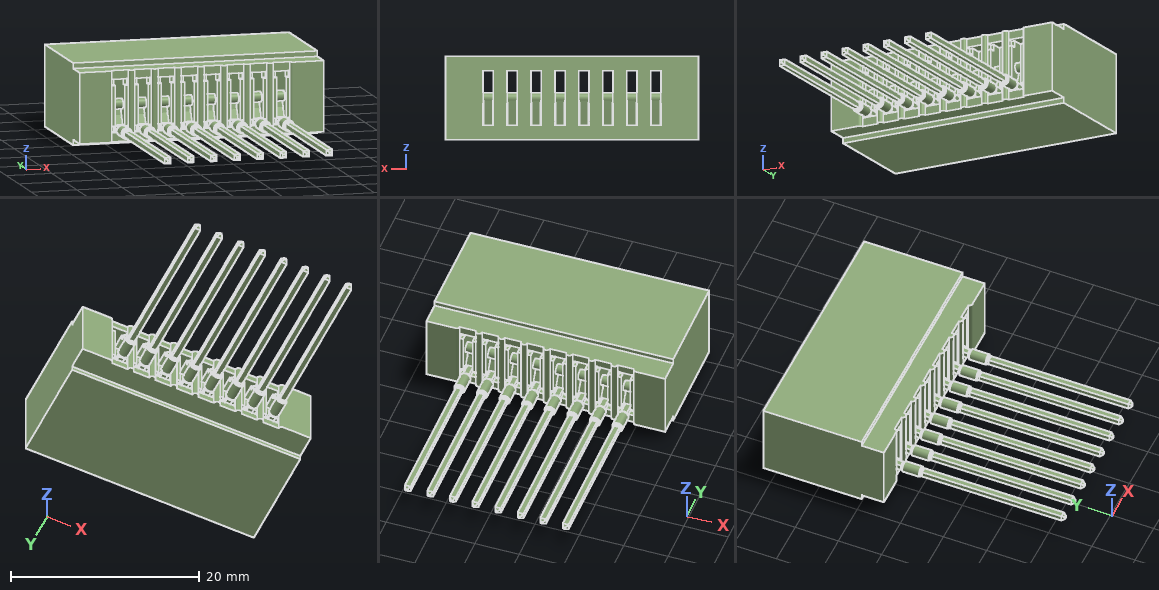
import cadquery as cq


OVERALL_DEPTH = 33.02

HOUSING_WIDTH = 26.9
HOUSING_DEPTH = 13.97
HOUSING_HEIGHT = 8.88
STEP_DEPTH = 2.58
STEP_HEIGHT = 0.6

CONTACT_COUNT = 8
PITCH = 2.55
CONTACT_XS = [(i - (CONTACT_COUNT - 1) / 2) * PITCH for i in range(CONTACT_COUNT)]

RECESS_DEPTH = 0.33
RIB_RADIUS = 0.35
SUNK_HEIGHT = HOUSING_HEIGHT - 2 * STEP_HEIGHT

SLOT_WIDTH = 1.05
SLOT_HEIGHT = 5.78
POCKET_WIDTH = PITCH - 2 * RIB_RADIUS
POCKET_HEIGHT = 0.7
POCKET_DEPTH = 0.92

WIRE_SIZE = 0.65
WIRE_Z = -2.55
WIRE_LENGTH = OVERALL_DEPTH - HOUSING_DEPTH
TIP_LENGTH = 0.33
TIP_SIZE = 0.23

SLEEVE_RADIUS = 0.6
SLEEVE_START = 0.3
SLEEVE_END = 2.4
SLEEVE_CHAMFER = 0.1
COLLAR_BASE_RADIUS = 0.45
COLLAR_TIP_RADIUS = 0.35
COLLAR_LENGTH = 0.15

LEAF_WIDTH = 1.0
LEAF_THICKNESS = 0.2
LEAF_START_Y = 1.12
LEAF_BEND_Y = 1.6
LEAF_BEND_Z = -1.22
ROLL_RADIUS = 0.55
ROLL_Y = 1.55


def y_prism(x, z, width, height, y_start, y_end):
    """Rectangular bar along Y, centred on (x, z)."""
    return cq.Workplane("XY").box(width, y_end - y_start, height).translate(
        (x, (y_start + y_end) / 2, z)
    )


def x_prism(profile, width):
    """Extrude a YZ profile along X, centred on X = 0."""
    return profile.extrude(width).translate((-width / 2, 0, 0))


def make_recess():
    """Recess across the contact row, with a rounded rib left on each side of every contact."""
    half_width = CONTACT_COUNT * PITCH / 2
    recess = y_prism(0, 0, 2 * half_width, SUNK_HEIGHT, 0, RECESS_DEPTH)
    for i in range(CONTACT_COUNT + 1):
        rib = (
            cq.Workplane("XY", origin=(-half_width + i * PITCH, RIB_RADIUS, 0))
            .circle(RIB_RADIUS)
            .extrude(SUNK_HEIGHT / 2, both=True)
        )
        recess = recess.cut(rib)
    return recess


def make_slot(x):
    """Through slot for one contact, with a wider blind pocket at its top and bottom ends."""
    slot = y_prism(x, 0, SLOT_WIDTH, SLOT_HEIGHT, 0, HOUSING_DEPTH)
    pocket_z = (SLOT_HEIGHT - POCKET_HEIGHT) / 2
    for z in (-pocket_z, pocket_z):
        slot = slot.union(y_prism(x, z, POCKET_WIDTH, POCKET_HEIGHT, RECESS_DEPTH, POCKET_DEPTH))
    return slot


def make_housing():
    block = y_prism(0, 0, HOUSING_WIDTH, HOUSING_HEIGHT, STEP_DEPTH, HOUSING_DEPTH)
    housing = block.union(y_prism(0, 0, HOUSING_WIDTH, SUNK_HEIGHT, 0, STEP_DEPTH))
    housing = housing.cut(make_recess())
    for x in CONTACT_XS:
        housing = housing.cut(make_slot(x))
    return housing


def make_wire():
    """Square wire with a tapered tip."""
    tip_start = -WIRE_LENGTH + TIP_LENGTH
    wire = y_prism(0, WIRE_Z, WIRE_SIZE, WIRE_SIZE, tip_start, LEAF_START_Y)
    tip = (
        cq.Workplane("XZ", origin=(0, tip_start, WIRE_Z))
        .rect(WIRE_SIZE, WIRE_SIZE)
        .workplane(offset=TIP_LENGTH)
        .rect(TIP_SIZE, TIP_SIZE)
        .loft()
    )
    return wire.union(tip)


def make_sleeve():
    """Chamfered sleeve around the wire, turned together with the tapered collar at each end."""
    chamfer_radius = SLEEVE_RADIUS - SLEEVE_CHAMFER
    return (
        cq.Workplane("XY", origin=(0, 0, WIRE_Z))
        .polyline(
            [
                (0, -SLEEVE_START + COLLAR_LENGTH),
                (COLLAR_TIP_RADIUS, -SLEEVE_START + COLLAR_LENGTH),
                (COLLAR_BASE_RADIUS, -SLEEVE_START),
                (chamfer_radius, -SLEEVE_START),
                (SLEEVE_RADIUS, -SLEEVE_START - SLEEVE_CHAMFER),
                (SLEEVE_RADIUS, -SLEEVE_END + SLEEVE_CHAMFER),
                (chamfer_radius, -SLEEVE_END),
                (COLLAR_BASE_RADIUS, -SLEEVE_END),
                (COLLAR_TIP_RADIUS, -SLEEVE_END - COLLAR_LENGTH),
                (0, -SLEEVE_END - COLLAR_LENGTH),
            ]
        )
        .close()
        .revolve(360, (0, 0), (0, 1))
    )


def make_spring():
    """Bent leaf that rises from the wire and runs into the back of the roll."""
    wire_top = WIRE_Z + WIRE_SIZE / 2
    wire_bottom = WIRE_Z - WIRE_SIZE / 2
    roll_back = ROLL_Y + ROLL_RADIUS
    leaf = x_prism(
        cq.Workplane("YZ").polyline(
            [
                (LEAF_START_Y, wire_bottom),
                (LEAF_START_Y, wire_top),
                (LEAF_BEND_Y, LEAF_BEND_Z),
                (roll_back - LEAF_THICKNESS, 0),
                (roll_back, 0),
                (LEAF_BEND_Y + LEAF_THICKNESS, LEAF_BEND_Z),
                (LEAF_START_Y + LEAF_THICKNESS, wire_bottom),
            ]
        ).close(),
        LEAF_WIDTH,
    )
    roll = x_prism(cq.Workplane("YZ").center(ROLL_Y, 0).circle(ROLL_RADIUS), SLOT_WIDTH)
    return leaf.union(roll)


def make_contact(x):
    return make_wire().union(make_sleeve()).union(make_spring()).translate((x, 0, 0))


housing = make_housing()
contacts = [make_contact(x) for x in CONTACT_XS]

result = cq.Compound.makeCompound([housing.val(), *[contact.val() for contact in contacts]])